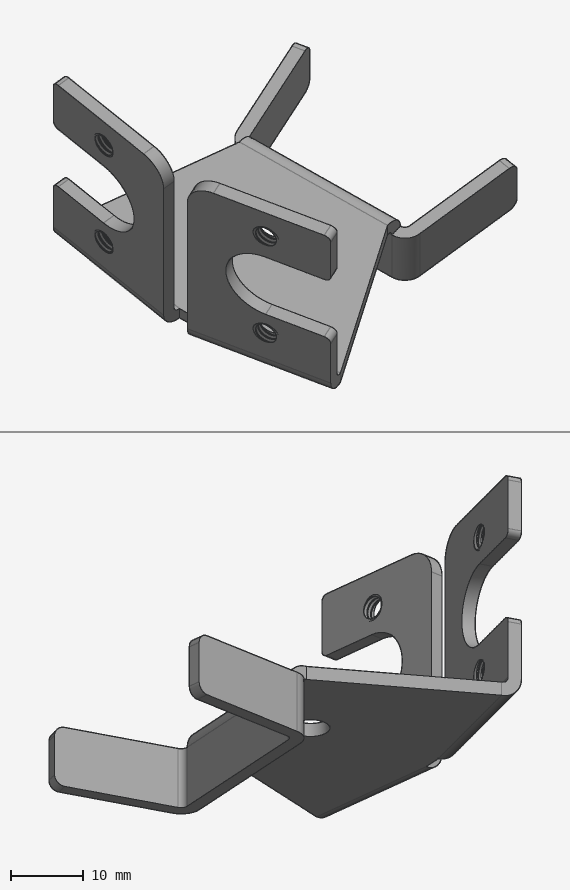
import cadquery as cq
import math

thickness = 2.0
inner_radius = 1.0
outer_radius = inner_radius + thickness
flare_angle = 10.0
flare_sin = math.sin(math.radians(flare_angle))
flare_cos = math.cos(math.radians(flare_angle))

plate_bottom = 10.0
plate_top = plate_bottom + thickness
plate_hole_diameter = 5.3
front_edge_y = -20.0
flange_gap = 3.0

wall_rear_y = 12.0
wall_width = 25.3
wall_height = plate_bottom - inner_radius
arm_length = 18.48
arm_corner_radius = 1.5
rear_bend_y = wall_rear_y - outer_radius

flange_width = 22.0
flange_top = 44.0
flange_corner_radius = 1.0
flange_inner_corner_radius = 4.0
feature_inset = 10.0
slot_width = 12.2
slot_z = 28.5
screw_spacing = 20.6

thread_pitch = 0.7
thread_major_diameter = 4.0
thread_minor_diameter = 3.242
thread_root_width = thread_pitch / 8
thread_flank_angle = 30.0
thread_overshoot = 1.5 * thread_pitch
thread_overlap = 0.1

flange_bend_x = flange_gap / 2
flange_outer_x = flange_bend_x + flange_width * flare_cos
flange_outer_y = front_edge_y + flange_width * flare_sin


def mirrored(body):
    """The body together with its mirror image across the YZ plane."""
    return body.union(body.mirror("YZ"))


def bend_section(plane, width):
    """Quarter bend that leads from the local +x direction up into the local +y direction.

    The local origin is on the outside of the bend, where it starts.
    """
    return (
        cq.Workplane(plane)
        .lineTo(0, thickness)
        .radiusArc((inner_radius, outer_radius), -inner_radius)
        .lineTo(outer_radius, outer_radius)
        .radiusArc((0, 0), outer_radius)
        .close()
        .extrude(width)
    )


def make_plate():
    half_wall = wall_width / 2
    base_plane = cq.Workplane("XY", origin=(0, 0, plate_bottom))
    outline = [
        (-half_wall, rear_bend_y),
        (-flange_outer_x, flange_outer_y),
        (-flange_bend_x, front_edge_y),
        (flange_bend_x, front_edge_y),
        (flange_outer_x, flange_outer_y),
        (half_wall, rear_bend_y),
    ]
    plate = base_plane.polyline(outline).close().extrude(thickness)
    hole = base_plane.circle(plate_hole_diameter / 2).extrude(thickness)
    return plate.cut(hole)


def make_rear_wall():
    bend_plane = cq.Plane(
        origin=(-wall_width / 2, rear_bend_y, plate_top), xDir=(0, 1, 0), normal=(1, 0, 0)
    )
    bend = bend_section(bend_plane, wall_width).mirror("XY", (0, 0, plate_top))
    wall = cq.Workplane("XY").box(wall_width, thickness, wall_height, centered=(True, False, False))
    return bend.union(wall.translate((0, wall_rear_y - thickness, 0)))


def make_arm():
    """Right-hand arm, bent rearwards from the end of the rear wall."""
    center_x = wall_width / 2
    center_y = wall_rear_y + inner_radius
    turn = math.radians(90 - flare_angle)
    half_turn = turn / 2

    def on_bend(radius, angle):
        return (center_x + radius * math.sin(angle), center_y - radius * math.cos(angle))

    bend = (
        cq.Workplane("XY")
        .moveTo(*on_bend(inner_radius, 0))
        .threePointArc(on_bend(inner_radius, half_turn), on_bend(inner_radius, turn))
        .lineTo(*on_bend(outer_radius, turn))
        .threePointArc(on_bend(outer_radius, half_turn), on_bend(outer_radius, 0))
        .close()
        .extrude(wall_height)
    )
    start_x, start_y = on_bend(outer_radius, turn)
    arm = (
        cq.Workplane("XY")
        .box(thickness, arm_length, wall_height, centered=False)
        .edges(">Y and |X")
        .fillet(arm_corner_radius)
        .translate((-thickness, 0, 0))
        .rotate((0, 0, 0), (0, 0, 1), -flare_angle)
        .translate((start_x, start_y, 0))
    )
    return bend.union(arm)


def make_thread_cutter():
    """Helical V groove along Z that overshoots a sheet lying from z = 0 to z = thickness."""
    inner = thread_minor_diameter / 2 - thread_overlap
    outer = thread_major_diameter / 2
    half_root = thread_root_width / 2
    half_mouth = half_root + (outer - inner) * math.tan(math.radians(thread_flank_angle))
    helix = cq.Wire.makeHelix(thread_pitch, thickness + 2 * thread_overshoot, inner)
    profile = [
        (inner, -half_mouth),
        (outer, -half_root),
        (outer, half_root),
        (inner, half_mouth),
    ]
    groove = cq.Workplane("XZ").polyline(profile).close().sweep(cq.Workplane(obj=helix), isFrenet=True)
    return groove.translate((0, 0, -thread_overshoot))


def make_flange():
    """Right-hand front flange.

    Built square to the axes: x from its inner edge, y = 0 at the start of the bend,
    then turned to the flare angle.
    """
    bend_plane = cq.Plane(origin=(0, 0, plate_bottom), xDir=(0, -1, 0), normal=(-1, 0, 0))
    bend = bend_section(bend_plane, -flange_width)

    feature_x = flange_width - feature_inset
    wall_bottom = plate_bottom + outer_radius
    wall = (
        cq.Workplane("XZ")
        .rect(flange_width, flange_top - wall_bottom, centered=False)
        .extrude(thickness)
        .translate((0, thickness - outer_radius, wall_bottom))
    )
    front_plane = cq.Workplane("XZ", origin=(0, -outer_radius, 0))
    slot = (
        front_plane.moveTo(feature_x, slot_z)
        .circle(slot_width / 2)
        .extrude(-thickness)
        .union(
            front_plane.moveTo(feature_x + feature_inset / 2, slot_z)
            .rect(feature_inset, slot_width)
            .extrude(-thickness)
        )
    )
    wall = wall.edges("|Y and <X and >Z").fillet(flange_inner_corner_radius)
    wall = wall.cut(slot)
    wall = wall.edges("|Y and >X").edges("not <Z").fillet(flange_corner_radius)
    for side in (-1, 1):
        screw_z = slot_z + side * screw_spacing / 2
        bore = front_plane.moveTo(feature_x, screw_z).circle(thread_minor_diameter / 2).extrude(-thickness)
        thread = (
            make_thread_cutter()
            .rotate((0, 0, 0), (1, 0, 0), 90)
            .translate((feature_x, thickness - outer_radius, screw_z))
        )
        wall = wall.cut(thread).cut(bore)

    return (
        bend.union(wall)
        .rotate((0, 0, 0), (0, 0, 1), flare_angle)
        .translate((flange_bend_x, front_edge_y, 0))
    )


result = (
    make_plate()
    .union(make_rear_wall())
    .union(mirrored(make_arm()))
    .union(mirrored(make_flange()))
)